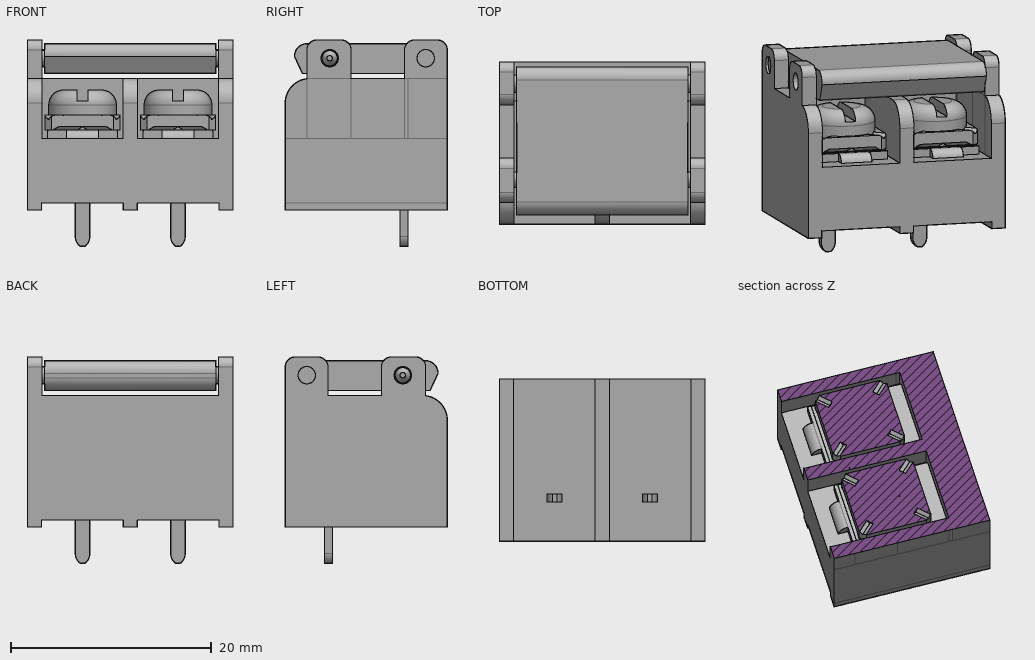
import cadquery as cq
import math


width = 20.5
depth = 16.2
height = 20.6
wall = 1.46
foot_bottom = 3.63
base_bottom = 4.33
foot_width = 1.4
floor_z = 10.77
shelf_z = 16.75
nose_radius = 2.47
pocket_width = (width - 3 * wall) / 2
pole_offset = (pocket_width + wall) / 2
pole_centers = (-pole_offset, pole_offset)

ear_radius = 1.03
front_ear = (2.16, 6.6)
rear_ear = (11.9, depth)
pivot_z = 18.77
hinge_y = 14.03
latch_y = 4.45
pivot_radius = 0.87
hinge_recess = 0.25

lid_width = 17.1
lid_front = 0.93
lid_rear = 15.68
lid_bottom = 17.22
lid_top = 20.23
lid_radius = 1.28
lid_lip_y = 1.73
lid_lip_radius = 0.16
latch_radius = 0.76
latch_tip_radius = 0.27
latch_tip_length = 0.72

sheet = 0.82
plate_width = 6.96
plate_front = 2.55
tab_width = 3.17
tab_radius = 1.05
plate_groove_front = 2.95
plate_groove_width = 0.5
plate_groove_depth = 0.08
pin_width = 1.46
pin_front = 11.45
pin_rear = pin_front + sheet
pin_taper = 0.97
pin_tip_width = 0.45
pin_bulge_x = 0.55
pin_bulge_z = 0.35

screw_y = 6.98
washer_size = 7.48
washer_chamfer = 0.64
washer_thickness = 1.5
groove_width = 1.32
groove_depth = 0.43
relief_width = 5.97
relief_top_width = 4.7
relief_height = 0.35
relief_depth = 0.35
notch_width = 0.99
head_radius = 3.38
head_height = 2.5
head_round = 1.48
slot_width = 1.07
slot_depth = 1.07

plate_top = floor_z + sheet
washer_top = plate_top + washer_thickness
head_top = washer_top + head_height


def centered_block(x, size_x, y0, y1, z0, z1):
    """Box centred on a given X and spanning the given ranges in Y and Z."""
    box = cq.Workplane("XY").box(size_x, y1 - y0, z1 - z0, centered=(True, False, False))
    return box.translate((x, y0, z0))


def partition(x):
    """Upright wall along Y with a rounded upper front edge."""
    wall_block = centered_block(x, wall, 0, depth, floor_z, shelf_z)
    return wall_block.edges("|X and >Z and <Y").fillet(nose_radius)


def ear(x, span):
    """Lug on top of a side wall with both upper corners rounded."""
    lug = centered_block(x, wall, span[0], span[1], floor_z, height)
    return lug.edges("|X and >Z").fillet(ear_radius)


def pivot_cylinder(x, y, length):
    """Cylinder along X centred on a lid pivot axis."""
    return (
        cq.Workplane("YZ")
        .center(y, pivot_z)
        .circle(pivot_radius)
        .extrude(length / 2, both=True)
        .translate((x, 0, 0))
    )


def make_housing():
    """Base with feet, three walls, a rear wall and four drilled ears."""
    body = centered_block(0, width, 0, depth, base_bottom, floor_z)
    body = body.union(centered_block(0, width, pin_rear, depth, base_bottom, shelf_z))
    body = body.union(partition(0))
    for side in (-1, 1):
        wall_x = side * (width - wall) / 2
        foot_x = side * (width - foot_width) / 2
        body = body.union(partition(wall_x))
        body = body.union(centered_block(foot_x, foot_width, 0, depth, foot_bottom, base_bottom))
        for span, pivot_y in ((front_ear, latch_y), (rear_ear, hinge_y)):
            body = body.union(ear(wall_x, span))
            body = body.cut(pivot_cylinder(wall_x, pivot_y, wall))
    return body.union(centered_block(0, foot_width, 0, depth, foot_bottom, base_bottom))


def make_latch(side):
    """Stud on the lid end: a cylinder across the gap and a cone that snaps into the front ear."""
    gap = width / 2 - wall - lid_width / 2
    length = gap + latch_tip_length
    stud = (
        cq.Workplane("XY")
        .moveTo(0, 0)
        .lineTo(latch_radius, 0)
        .lineTo(latch_radius, gap)
        .lineTo(latch_tip_radius, length)
        .lineTo(0, length)
        .close()
        .revolve(360, (0, 0, 0), (0, 1, 0))
        .rotate((0, 0, 0), (0, 0, 1), -side * 90)
    )
    return stud.translate((side * lid_width / 2, latch_y, pivot_z))


def make_lid():
    """Thick lid with rounded ends, hinge pins at the rear and latch studs at the front."""
    arc_mid = lid_radius * (1 - math.sqrt(0.5))
    lid = (
        cq.Workplane("YZ")
        .moveTo(lid_lip_y, lid_bottom)
        .lineTo(lid_front, lid_top - lid_radius)
        .threePointArc(
            (lid_front + arc_mid, lid_top - arc_mid),
            (lid_front + lid_radius, lid_top),
        )
        .lineTo(lid_rear, lid_top)
        .lineTo(lid_rear, lid_bottom)
        .close()
        .extrude(lid_width / 2, both=True)
        .edges("|X and >Y")
        .fillet(lid_radius)
        .edges(cq.selectors.NearestToPointSelector((0, lid_lip_y, lid_bottom)))
        .fillet(lid_lip_radius)
    )
    lid = lid.union(pivot_cylinder(0, hinge_y, width - 2 * hinge_recess))
    for side in (-1, 1):
        lid = lid.union(make_latch(side))
    return lid


def make_pin():
    """Flat solder pin with an ogive tip, centred on X = 0."""
    return (
        cq.Workplane("XZ")
        .moveTo(-pin_width / 2, floor_z)
        .lineTo(-pin_width / 2, pin_taper)
        .threePointArc((-pin_bulge_x, pin_bulge_z), (-pin_tip_width / 2, 0))
        .lineTo(pin_tip_width / 2, 0)
        .threePointArc((pin_bulge_x, pin_bulge_z), (pin_width / 2, pin_taper))
        .lineTo(pin_width / 2, floor_z)
        .close()
        .extrude(-sheet)
        .translate((0, pin_front, 0))
    )


def make_plate():
    """Terminal plate with a cross groove and a narrow tab curling down to the pocket floor in front."""
    groove_rear = plate_groove_front + plate_groove_width
    groove_bottom = plate_top - plate_groove_depth
    plate = centered_block(0, plate_width, plate_front, pin_rear, floor_z, plate_top)
    groove = centered_block(0, plate_width, plate_groove_front, groove_rear, groove_bottom, plate_top)
    plate = plate.cut(groove)
    curl = (
        cq.Workplane("YZ")
        .center(plate_front, plate_top - tab_radius)
        .circle(tab_radius)
        .extrude(tab_width / 2, both=True)
    )
    curl_envelope = centered_block(0, tab_width, 0, plate_front, floor_z, plate_top)
    return plate.union(curl.intersect(curl_envelope))


def underside_prism(bottom_width, top_width):
    """Ridge along Y on the washer's underside, narrowing upwards; a zero top width gives a triangle."""
    outline = [(-bottom_width / 2, 0), (bottom_width / 2, 0), (top_width / 2, relief_height)]
    if top_width > 0:
        outline.append((-top_width / 2, relief_height))
    return (
        cq.Workplane("XZ", origin=(0, 0, plate_top))
        .polyline(outline)
        .close()
        .extrude(washer_size / 2, both=True)
    )


def make_washer():
    """Square washer with cut corners, diagonal grooves, bevelled lower edges and a notch below."""
    washer = (
        cq.Workplane("XY", origin=(0, 0, plate_top))
        .rect(washer_size, washer_size)
        .extrude(washer_thickness)
        .edges("|Z")
        .chamfer(washer_chamfer)
    )
    groove = (
        cq.Workplane("YZ", origin=(0, 0, washer_top))
        .moveTo(-groove_width / 2, 0)
        .lineTo(groove_width / 2, 0)
        .lineTo(0, -groove_depth)
        .close()
        .extrude(washer_size, both=True)
    )
    for angle in (45, -45):
        washer = washer.cut(groove.rotate((0, 0, 0), (0, 0, 1), angle))
    bevel = (
        cq.Workplane("YZ", origin=(0, -washer_size / 2, plate_top))
        .lineTo(relief_depth, 0)
        .lineTo(0, relief_height)
        .close()
        .extrude(washer_size / 2, both=True)
    )
    relief = bevel.intersect(underside_prism(relief_width, relief_top_width))
    washer = washer.cut(underside_prism(notch_width, 0))
    washer = washer.cut(relief).cut(relief.mirror("XZ"))
    return washer.translate((0, screw_y, 0))


def make_screw_head():
    """Pan head with a straight slot along Y."""
    head = (
        cq.Workplane("XY", origin=(0, screw_y, washer_top - groove_depth))
        .circle(head_radius)
        .extrude(head_height + groove_depth)
        .faces(">Z")
        .edges()
        .fillet(head_round)
    )
    slot = centered_block(
        0, slot_width, screw_y - head_radius, screw_y + head_radius, head_top - slot_depth, head_top
    )
    return head.cut(slot)


def make_pole():
    """Pin, plate, washer and screw of one pole, centred on X = 0."""
    return make_plate().union(make_pin()).union(make_washer()).union(make_screw_head())


result = make_housing().union(make_lid())
for pole_x in pole_centers:
    result = result.union(make_pole().translate((pole_x, 0, 0)))